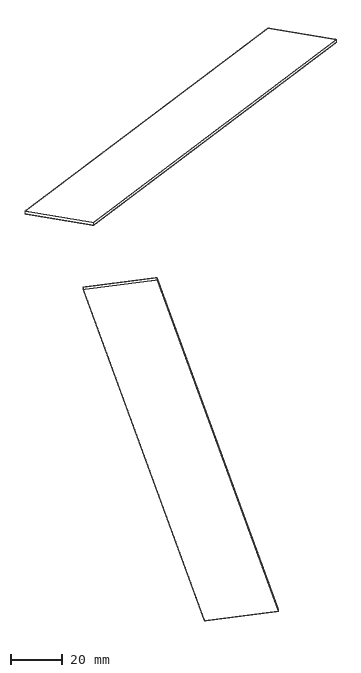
import cadquery as cq

WIDTH = 29.15
LENGTH = 220.0
THICKNESS = 1.2

result = cq.Workplane("XY").box(WIDTH, LENGTH, THICKNESS)